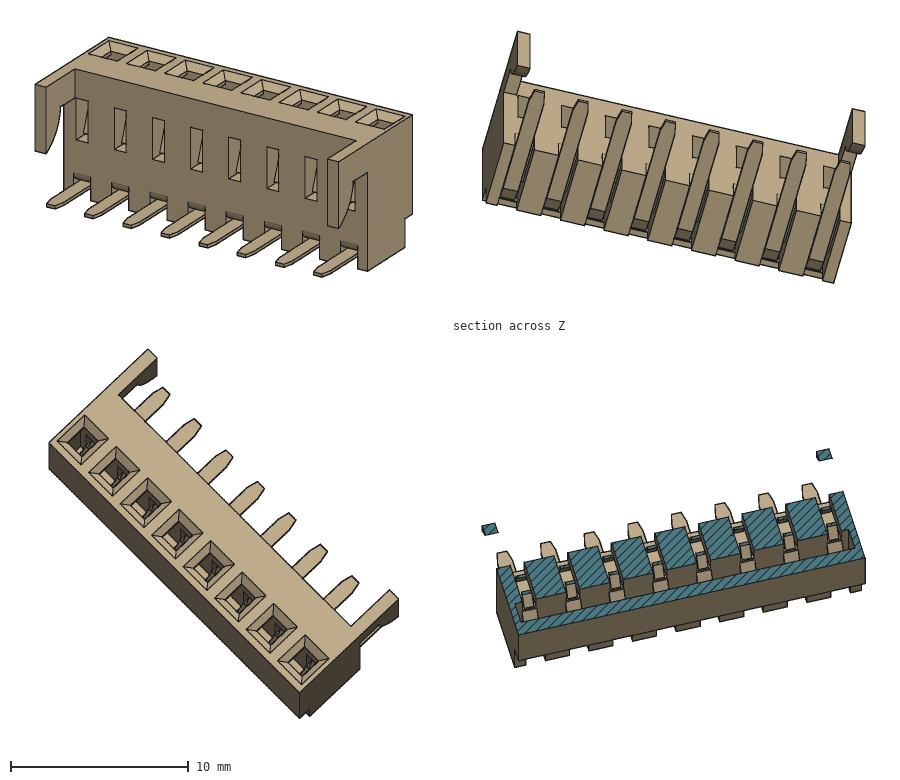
import cadquery as cq
import math


length = 20.22
height = 7.87
body_depth = 4.75
step_depth = 0.79
step_height = 1.75

arm_width = 0.75
arm_reach = 7.78
arm_thickness = 1.78
hook_start = 6.25
hook_height = 4.1
hook_bulge = 0.36

contact_count = 8
pitch = 2.54

funnel_width = 1.92
funnel_rear = 0.4
funnel_front = 2.57
funnel_depth = 0.4
shaft_width = 1.13
shaft_rear = 0.83
shaft_front = 2.12

trough_overhang = 0.26
trough_floor = 2.12
trough_roof = height - funnel_depth - 0.22

window_width = 0.79
window_bottom = 3.52
window_top = height - arm_thickness

slot_height = 1.45
slot_round = 0.53
slot_ceiling = slot_height - slot_round

strip_thickness = 0.2
strip_width = 0.87
pin_bottom = 0.65
pin_top = pin_bottom + strip_thickness
pin_reach = 8.05
tip_width = 0.57
tip_length = 0.67

spring_width = tip_width
ramp_start = 1.62
ramp_angle = 24.0
heel_depth = 0.87
leg_angle = 62.3
leg_shoulder = 3.4
spring_top = 5.24
spring_tip_bottom = 3.65
spring_tip_depth = 4.17
finger_lean = 20.0


def box(width, rear, front, bottom, top):
    """Block centred on X, between two depths measured from the rear face and two heights."""
    return (
        cq.Workplane("XY")
        .box(width, front - rear, top - bottom, centered=(True, False, False))
        .translate((0, -front, bottom))
    )


def side_profile(points, width):
    """Extrude a closed (depth, height) outline symmetrically along X."""
    outline = [(-depth, z) for depth, z in points]
    return cq.Workplane("YZ").polyline(outline).close().extrude(width / 2, both=True)


def make_body():
    """Block with a step along its lower rear edge."""
    return box(length, 0, body_depth, 0, height).cut(box(length, 0, step_depth, 0, step_height))


def make_arm():
    """Arm reaching forward, ending in a hook whose rear side bulges toward the body."""
    underside = height - arm_thickness
    hook_bottom = height - hook_height
    return (
        cq.Workplane("YZ")
        .moveTo(-step_depth, height)
        .lineTo(-arm_reach, height)
        .lineTo(-arm_reach, hook_bottom)
        .sagittaArc((-hook_start, underside), -hook_bulge)
        .lineTo(-step_depth, underside)
        .close()
        .extrude(arm_width / 2, both=True)
    )


def make_funnel():
    """Four-sided taper from the socket mouth down to the shaft."""
    mouth_depth = funnel_front - funnel_rear
    shaft_depth = shaft_front - shaft_rear
    mouth_centre = (funnel_front + funnel_rear) / 2
    shaft_centre = (shaft_front + shaft_rear) / 2
    return (
        cq.Workplane("XY", origin=(0, -mouth_centre, height))
        .rect(funnel_width, mouth_depth)
        .workplane(offset=-funnel_depth)
        .center(0, mouth_centre - shaft_centre)
        .rect(shaft_width, shaft_depth)
        .loft(ruled=True)
    )


def make_slot():
    """Slot through the bottom whose ceiling curves up to meet the front face."""
    bend = slot_round * math.sqrt(0.5)
    return (
        cq.Workplane("YZ")
        .moveTo(0, 0)
        .lineTo(-body_depth, 0)
        .lineTo(-body_depth, slot_height)
        .threePointArc(
            (-body_depth + slot_round - bend, slot_height - bend),
            (-body_depth + slot_round, slot_ceiling),
        )
        .lineTo(0, slot_ceiling)
        .close()
        .extrude(shaft_width / 2, both=True)
    )


def make_station_cut():
    """Everything removed from the housing for one contact."""
    shaft = box(shaft_width, shaft_rear, shaft_front, 0, height - funnel_depth)
    window = box(window_width, shaft_front, body_depth, window_bottom, window_top)
    return shaft.union(make_funnel()).union(window).union(make_slot())


def make_pin():
    """Flat pin with a tapered tip."""
    taper_start = pin_reach - tip_length
    return (
        cq.Workplane("XY", origin=(0, 0, pin_bottom))
        .polyline([
            (-strip_width / 2, -ramp_start),
            (-strip_width / 2, -taper_start),
            (-tip_width / 2, -pin_reach),
            (tip_width / 2, -pin_reach),
            (strip_width / 2, -taper_start),
            (strip_width / 2, -ramp_start),
        ])
        .close()
        .extrude(strip_thickness)
    )


def make_spring():
    """Ramp, leg and finger that carry the strip from the pin to the window."""
    leg_slope = math.tan(math.radians(leg_angle))
    leg_step = strip_thickness / math.sin(math.radians(leg_angle))
    ramp_slope = math.tan(math.radians(ramp_angle))
    heel_bottom = pin_bottom + (ramp_start - heel_depth) * ramp_slope

    def leg_depth(z):
        return heel_depth + (z - heel_bottom) / leg_slope

    def leg_section(bottom, top, width):
        return side_profile(
            [
                (leg_depth(bottom), bottom),
                (leg_depth(bottom) + leg_step, bottom),
                (leg_depth(top) + leg_step, top),
                (leg_depth(top), top),
            ],
            width,
        )

    ramp_top_end = heel_depth + strip_thickness / leg_slope
    ramp = side_profile(
        [
            (ramp_start, pin_bottom),
            (ramp_start, pin_top),
            (ramp_top_end, pin_top + (ramp_start - ramp_top_end) * ramp_slope),
            (heel_depth, heel_bottom),
        ],
        strip_width,
    )
    leg = leg_section(heel_bottom, leg_shoulder, strip_width)
    neck = leg_section(leg_shoulder, spring_top, spring_width)

    lean = math.radians(finger_lean)
    tip_rise = strip_thickness * math.sin(lean)
    tip_back = strip_thickness * math.cos(lean)
    finger_top_depth = spring_tip_depth - (spring_top - spring_tip_bottom - tip_rise) * math.tan(lean)
    finger_back_depth = finger_top_depth - strip_thickness / math.cos(lean)
    finger = side_profile(
        [
            (finger_top_depth, spring_top),
            (spring_tip_depth, spring_tip_bottom + tip_rise),
            (spring_tip_depth - tip_back, spring_tip_bottom),
            (finger_back_depth, spring_top),
        ],
        spring_width,
    )
    crest_bottom = spring_top - strip_thickness
    crest = side_profile(
        [
            (leg_depth(spring_top), spring_top),
            (finger_top_depth, spring_top),
            (finger_top_depth, crest_bottom),
            (leg_depth(crest_bottom), crest_bottom),
        ],
        spring_width,
    )
    return ramp.union(leg).union(neck).union(crest).union(finger)


station_positions = [(i - (contact_count - 1) / 2) * pitch for i in range(contact_count)]

housing = make_body()
arm_offset = (length - arm_width) / 2
for side in (-1, 1):
    housing = housing.union(make_arm().translate((side * arm_offset, 0, 0)))

row_span = (contact_count - 1) * pitch
trough_length = row_span + shaft_width + 2 * trough_overhang
housing = housing.cut(box(trough_length, shaft_rear, shaft_front, trough_floor, trough_roof))

station_cut = make_station_cut()
contact = make_pin().union(make_spring())
for x in station_positions:
    housing = housing.cut(station_cut.translate((x, 0, 0)))
for x in station_positions:
    housing = housing.union(contact.translate((x, 0, 0)))

result = housing